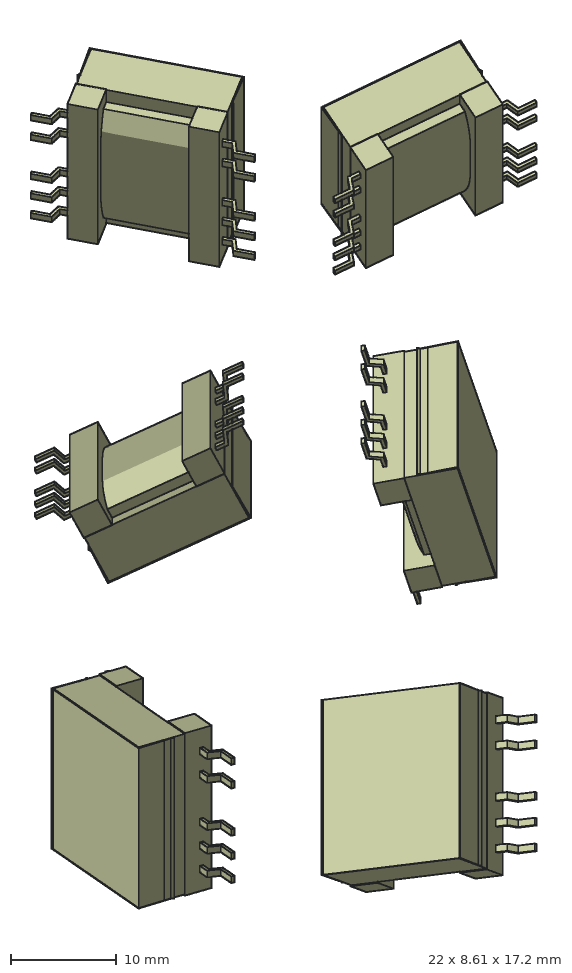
import cadquery as cq
import math


lead_span = 22.0
total_height = 8.61

rail_span = 14.95
rail_width = 3.0
rail_length = 17.2
rail_bottom = 0.3
rail_top = 3.31

clip_thickness = 0.1
clip_length = 16.96
clip_back_half_width = 7.6
clip_leg_drop = 3.7
clip_leg_lean = 0.1
clip_lip_drop = 0.28
clip_lip_flare = 0.18

core_width = 14.84
core_length = 17.0
core_back = total_height - clip_thickness

winding_length_x = rail_span - 2 * rail_width
winding_half_width = 6.95
winding_flat_half_width = 2.67
winding_bottom = 1.29
winding_shoulder = 2.3

lead_width = 0.7
lead_thickness = 0.35
lead_rise = 1.27
lead_foot_length = 2.07
lead_slope_angle = 20.0
lead_pitch = 2.5
lead_slots = (-2.5, -1.5, -0.5, 1.5, 2.5)


def box_between(x_size, y_low, y_high, z_size):
    """Box centred on X and Z that spans the given Y range."""
    height = y_high - y_low
    return cq.Workplane("XY").box(x_size, height, z_size).translate((0, y_low + height / 2, 0))


def make_core():
    return box_between(core_width, rail_top, core_back, core_length)


def make_rail(side):
    rail = box_between(rail_width, rail_bottom, rail_top, rail_length)
    return rail.translate((side * (rail_span - rail_width) / 2, 0, 0))


def make_winding():
    """Flat-fronted coil whose shoulders are arcs tangent to the flat face."""
    arc_width = winding_half_width - winding_flat_half_width
    arc_depth = winding_shoulder - winding_bottom
    arc_radius = (arc_width**2 + arc_depth**2) / (2 * arc_depth)
    half_sweep = math.asin(arc_width / arc_radius) / 2
    mid_y = winding_bottom + arc_radius * (1 - math.cos(half_sweep))
    mid_z = winding_flat_half_width + arc_radius * math.sin(half_sweep)
    return (
        cq.Workplane("YZ")
        .moveTo(rail_top, -winding_half_width)
        .lineTo(winding_shoulder, -winding_half_width)
        .threePointArc((mid_y, -mid_z), (winding_bottom, -winding_flat_half_width))
        .lineTo(winding_bottom, winding_flat_half_width)
        .threePointArc((mid_y, mid_z), (winding_shoulder, winding_half_width))
        .lineTo(rail_top, winding_half_width)
        .close()
        .extrude(winding_length_x / 2, both=True)
    )


def make_clip():
    """Thin sheet on the back of the core with two leaning legs that end in flared lips."""
    knee_x = clip_back_half_width - clip_leg_lean
    knee_y = total_height - clip_leg_drop
    tip_x = knee_x + clip_lip_flare
    tip_y = knee_y - clip_lip_drop
    lip_length = math.hypot(clip_lip_flare, clip_lip_drop)
    tip_step_x = clip_thickness * clip_lip_drop / lip_length
    tip_step_y = clip_thickness * clip_lip_flare / lip_length
    right_side = [
        (clip_back_half_width, total_height),
        (knee_x, knee_y),
        (tip_x, tip_y),
        (tip_x - tip_step_x, tip_y - tip_step_y),
        (knee_x - clip_thickness, knee_y),
        (clip_back_half_width - clip_thickness, core_back),
    ]
    left_side = [(-x, y) for x, y in reversed(right_side)]
    return cq.Workplane("XY").polyline(right_side + left_side).close().extrude(clip_length / 2, both=True)


def make_lead(z_center):
    """Lead on the +X side: foot, sloped riser and a flat shank that enters the rail."""
    slope = math.tan(math.radians(lead_slope_angle))
    bend_offset = lead_thickness * math.tan(math.radians(90 - lead_slope_angle) / 2)
    tip_x = lead_span / 2
    heel_x = tip_x - lead_foot_length
    shank_x = rail_span / 2 - lead_thickness
    shank_top = lead_rise + lead_thickness
    lower_knee_x = heel_x - lead_rise * slope
    return (
        cq.Workplane("XY")
        .polyline(
            [
                (tip_x, 0),
                (heel_x, 0),
                (lower_knee_x, lead_rise),
                (shank_x, lead_rise),
                (shank_x, shank_top),
                (lower_knee_x + bend_offset, shank_top),
                (heel_x + bend_offset, lead_thickness),
                (tip_x, lead_thickness),
            ]
        )
        .close()
        .extrude(lead_width / 2, both=True)
        .translate((0, 0, z_center))
    )


result = make_core().union(make_winding()).union(make_clip())
for side in (-1, 1):
    result = result.union(make_rail(side))
for slot in lead_slots:
    lead = make_lead(slot * lead_pitch)
    result = result.union(lead).union(lead.mirror("YZ"))